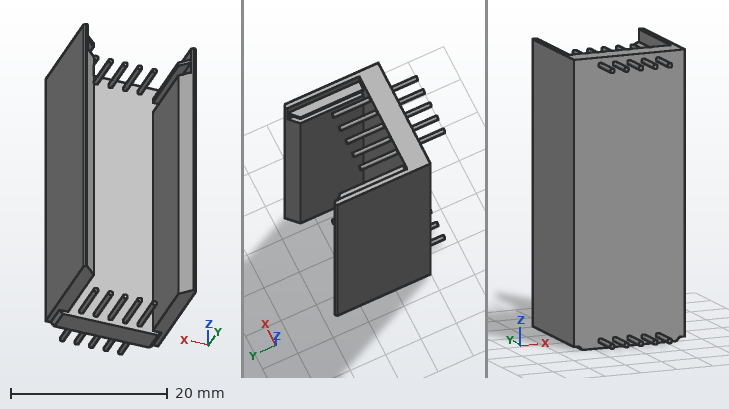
import cadquery as cq

width = 15.4
body_height = 37.5
body_depth = 13.4
base_thickness = 3.0
wall_thickness = 0.65
wall_tip_bevel = 0.24

rib_protrusion = 1.25
rib_height = 0.5
slot_height = 1.5
rib_drop = 1.65

key_height = 0.5
key_top_width = 14.0
key_bottom_width = 13.0

pin_diameter = 0.6
pin_pitch = 2.0
pins_per_row = 5
pin_front_length = 3.7
pin_back_length = 5.2
pin_length = pin_front_length + base_thickness + pin_back_length
row_edge_distance = 1.0
pin_row_heights = (row_edge_distance - key_height, body_height - row_edge_distance)

half_width = width / 2
inner_half_width = half_width - wall_thickness
rib_bottom = body_height - rib_drop - rib_height
pad_height = rib_bottom - slot_height
rib_half_width = inner_half_width - rib_protrusion
wall_shoulder = body_depth - wall_tip_bevel


def make_body():
    """Upright channel whose wall ends are bevelled on both faces."""
    outer_tip_x = half_width - wall_tip_bevel
    inner_tip_x = inner_half_width + wall_tip_bevel
    return (
        cq.Workplane("XY")
        .moveTo(-half_width, 0)
        .lineTo(half_width, 0)
        .lineTo(half_width, wall_shoulder)
        .lineTo(outer_tip_x, body_depth)
        .lineTo(inner_tip_x, body_depth)
        .lineTo(inner_half_width, wall_shoulder)
        .lineTo(inner_half_width, base_thickness)
        .lineTo(-inner_half_width, base_thickness)
        .lineTo(-inner_half_width, wall_shoulder)
        .lineTo(-inner_tip_x, body_depth)
        .lineTo(-outer_tip_x, body_depth)
        .lineTo(-half_width, wall_shoulder)
        .close()
        .extrude(body_height)
    )


def make_rib(side, bottom_z, height):
    """Rib on one wall (side is +1 or -1), its free end sloped at 45 degrees."""
    profile = [
        (side * inner_half_width, base_thickness),
        (side * inner_half_width, wall_shoulder),
        (side * rib_half_width, wall_shoulder - rib_protrusion),
        (side * rib_half_width, base_thickness),
    ]
    plane = cq.Workplane("XY", origin=(0, 0, bottom_z))
    return plane.polyline(profile).close().extrude(height)


def make_key():
    """Trapezoidal key under the base plate, as deep as the plate is thick."""
    profile = [
        (-key_top_width / 2, 0),
        (-key_bottom_width / 2, -key_height),
        (key_bottom_width / 2, -key_height),
        (key_top_width / 2, 0),
    ]
    return cq.Workplane("XZ").polyline(profile).close().extrude(-base_thickness)


def make_pins():
    """Both rows of round pins, centred across the width."""
    first_x = -pin_pitch * (pins_per_row - 1) / 2
    centres = [(first_x + i * pin_pitch, z) for z in pin_row_heights for i in range(pins_per_row)]
    return (
        cq.Workplane("XZ", origin=(0, -pin_front_length, 0))
        .pushPoints(centres)
        .circle(pin_diameter / 2)
        .extrude(-pin_length)
    )


result = make_body().union(make_key())
for side in (-1, 1):
    result = result.union(make_rib(side, rib_bottom, rib_height))
    result = result.union(make_rib(side, 0, pad_height))
result = result.union(make_pins())